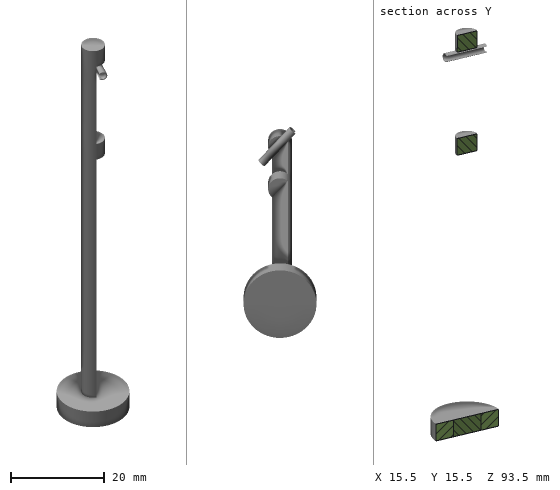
import cadquery as cq
import math

TOTAL_HEIGHT = 93.5
BASE_DIAMETER = 15.5
BASE_HEIGHT = 4.0

ROD_DIAMETER = 5.05
FOOT_DIAMETER = 6.5
LAND_HEIGHT = 4.0
LAND_SPACING = 24.0

PIN_DIAMETER = 2.0
PIN_WALL = 0.2
PIN_LENGTH = 10.0
PIN_SLOT_WIDTH = 1.3

TOP_LAND_BOTTOM = TOTAL_HEIGHT - LAND_HEIGHT
LOWER_LAND_BOTTOM = TOP_LAND_BOTTOM - LAND_SPACING


def back_relief(bottom, top):
    """Block covering the +Y half of the rod between two heights."""
    return (
        cq.Workplane("XY", origin=(0, 0, bottom))
        .rect(ROD_DIAMETER, ROD_DIAMETER)
        .extrude(top - bottom)
        .translate((0, ROD_DIAMETER / 2, 0))
    )


def make_base():
    """Round base with a through hole for the rod foot."""
    return (
        cq.Workplane("XY")
        .circle(BASE_DIAMETER / 2)
        .circle(FOOT_DIAMETER / 2)
        .extrude(BASE_HEIGHT)
    )


def make_rod():
    """Foot and round shaft, cut back to the middle plane except at two lands."""
    shaft = cq.Workplane("XY").circle(ROD_DIAMETER / 2).extrude(TOTAL_HEIGHT)
    shaft = shaft.cut(back_relief(BASE_HEIGHT, LOWER_LAND_BOTTOM))
    shaft = shaft.cut(back_relief(LOWER_LAND_BOTTOM + LAND_HEIGHT, TOP_LAND_BOTTOM))
    foot = cq.Workplane("XY").circle(FOOT_DIAMETER / 2).extrude(BASE_HEIGHT)
    return foot.union(shaft)


def make_pin():
    """Thin tube along X with a lengthwise slot facing the flat of the rod."""
    radius = PIN_DIAMETER / 2
    axis_y = math.sqrt(radius**2 - (PIN_SLOT_WIDTH / 2) ** 2)
    axis_z = TOP_LAND_BOTTOM - radius
    tube = (
        cq.Workplane("YZ", origin=(-PIN_LENGTH / 2, axis_y, axis_z))
        .circle(radius)
        .circle(radius - PIN_WALL)
        .extrude(PIN_LENGTH)
    )
    slot = cq.Workplane("XY").box(PIN_LENGTH, radius, PIN_SLOT_WIDTH)
    return tube.cut(slot.translate((0, axis_y - radius / 2, axis_z)))


base = make_base()
rod = make_rod()
pin = make_pin()
result = cq.Compound.makeCompound([base.val(), rod.val(), pin.val()])